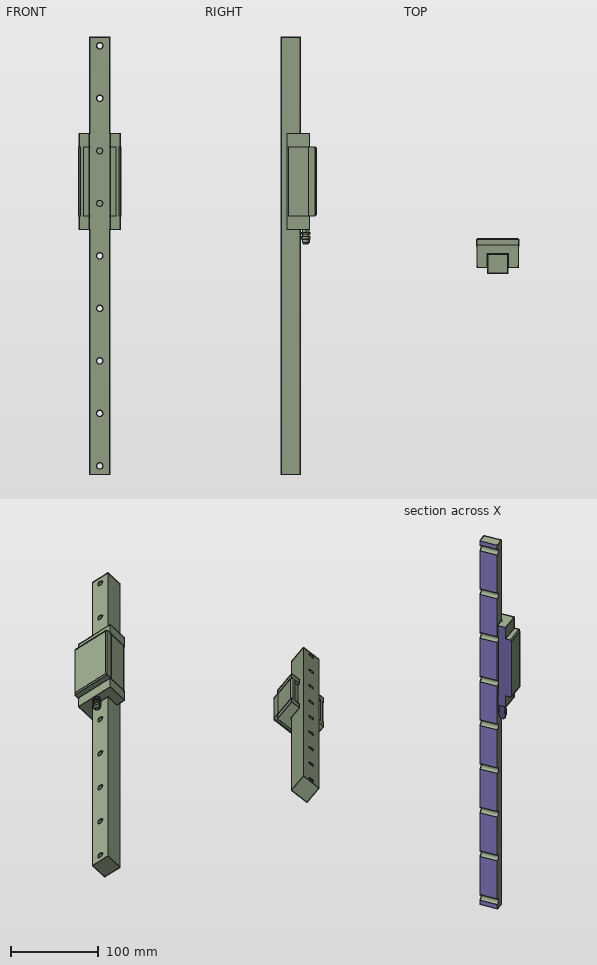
import cadquery as cq


rail_length = 500.0
rail_width = 23.0
rail_height = 22.0
rail_hole_diameter = 7.0
rail_hole_pitch = 60.0
rail_hole_count = 9

carriage_bottom = 280.0
carriage_base = 6.5
block_length = 79.0
block_top = 40.0
block_top_width = 48.0
block_top_chamfer = 1.5
block_skirt_width = 47.5
block_skirt_top = 31.0
block_skirt_chamfer = 2.0
block_clearance = 1.0
recess_width = 37.0
recess_depth = 2.5

cap_width = 47.0
cap_top = 32.5
cap_length = 15.5
cap_clearance = 0.5

nipple_height = 28.0
nipple_hex_corners = 9.0
nipple_hex_length = 3.5
nipple_flange_radius = 5.0
nipple_flange_length = 1.5
nipple_neck_radius = 3.5
nipple_neck_length = 3.0
nipple_head_radius = 5.0
nipple_head_length = 2.5
nipple_nose_radius = 4.0
nipple_nose_length = 3.0
nipple_tip_radius = 2.0
nipple_taper_length = 1.0
nipple_tip_length = 2.0

block_bottom = carriage_bottom + cap_length
upper_cap_bottom = block_bottom + block_length
first_hole_place = (rail_length - rail_hole_pitch * (rail_hole_count - 1)) / 2


def bar(width, low, high, start, length):
    """Bar along Z, centred across the rail, reaching from low to high in Y."""
    box = cq.Workplane("XY").box(width, high - low, length, centered=(True, False, False))
    return box.translate((0, low, start))


def make_rail():
    rail = bar(rail_width, 0, rail_height, 0, rail_length)
    hole_places = [(0, first_hole_place + i * rail_hole_pitch) for i in range(rail_hole_count)]
    holes = cq.Workplane("XZ").pushPoints(hole_places).circle(rail_hole_diameter / 2).extrude(-rail_height)
    return rail.cut(holes)


def rail_opening(clearance, start, length):
    """Space for the rail, with the given clearance at its sides and top."""
    return bar(rail_width + 2 * clearance, 0, rail_height + clearance, start, length)


def make_block():
    upper = bar(block_top_width, block_skirt_top, block_top, block_bottom, block_length)
    upper = upper.faces(">Y").edges().chamfer(block_top_chamfer)
    skirts = bar(block_skirt_width, carriage_base, block_skirt_top, block_bottom, block_length)
    skirts = skirts.faces("<Y").edges("|Z").chamfer(block_skirt_chamfer)
    recess = bar(recess_width, carriage_base, carriage_base + recess_depth, block_bottom, block_length)
    opening = rail_opening(block_clearance, block_bottom, block_length)
    return upper.union(skirts).cut(recess).cut(opening)


def make_cap(start):
    cap = bar(cap_width, carriage_base, cap_top, start, cap_length)
    return cap.cut(rail_opening(cap_clearance, start, cap_length))


def make_carriage():
    carriage = make_block()
    for start in (carriage_bottom, upper_cap_bottom):
        carriage = carriage.union(make_cap(start))
    return carriage


def make_nipple():
    """Nipple pointing down (-Z) from the lower end cap, built from the cap outward."""
    shank = cq.Workplane("XY").polygon(6, nipple_hex_corners).extrude(-nipple_hex_length)

    flange_end = -nipple_hex_length - nipple_flange_length
    neck_end = flange_end - nipple_neck_length
    head_end = neck_end - nipple_head_length
    nose_start = head_end - nipple_taper_length
    nose_end = nose_start - nipple_nose_length
    tip_end = nose_end - nipple_tip_length
    profile = [
        (0, -nipple_hex_length),
        (nipple_flange_radius, -nipple_hex_length),
        (nipple_flange_radius, flange_end),
        (nipple_neck_radius, flange_end),
        (nipple_neck_radius, neck_end),
        (nipple_head_radius, neck_end),
        (nipple_head_radius, head_end),
        (nipple_nose_radius, nose_start),
        (nipple_nose_radius, nose_end),
        (nipple_tip_radius, tip_end),
        (0, tip_end),
    ]
    turned_part = cq.Workplane("XZ").polyline(profile).close().revolve(360, (0, 0), (0, 1))
    return shank.union(turned_part).translate((0, nipple_height, carriage_bottom))


rail = make_rail()
carriage = make_carriage()
nipple = make_nipple()

result = cq.Compound.makeCompound([rail.val(), carriage.val(), nipple.val()])